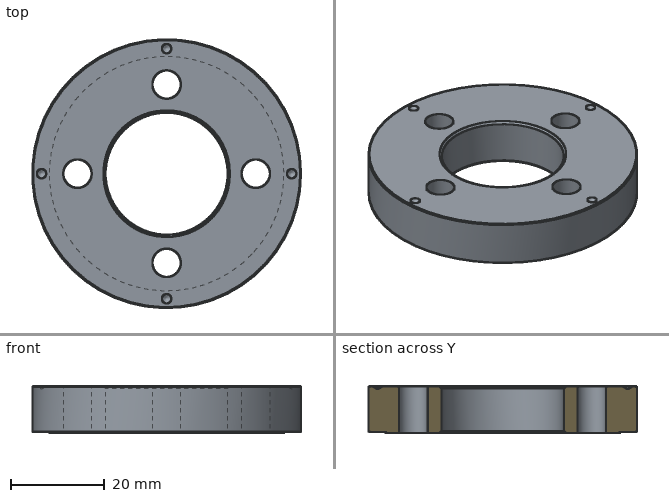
import cadquery as cq
import math

OUTER_DIAMETER = 57.3
THICKNESS = 10.0
BORE_DIAMETER = 26.0
BORE_CHAMFER = 0.5
RIM_CHAMFER = 0.2

SEAT_DIAMETER = 50.0
SEAT_HEIGHT = 0.2

PATTERN_COUNT = 4
HOLE_DIAMETER = 6.0
HOLE_CIRCLE_DIAMETER = 38.0
MARK_DIAMETER = 2.0
MARK_EDGE_DISTANCE = 2.0
MARK_CIRCLE_DIAMETER = OUTER_DIAMETER - 2 * MARK_EDGE_DISTANCE
MARK_CONE_ANGLE = 118.0


def make_body():
    """Disc with chamfered rims, standing on a slightly raised seat."""
    disc = (
        cq.Workplane("XY")
        .workplane(offset=SEAT_HEIGHT)
        .circle(OUTER_DIAMETER / 2)
        .extrude(THICKNESS - SEAT_HEIGHT)
        .edges()
        .chamfer(RIM_CHAMFER)
    )
    seat = cq.Workplane("XY").circle(SEAT_DIAMETER / 2).extrude(2 * SEAT_HEIGHT)
    return disc.union(seat)


def make_bore():
    """Cutter for the central bore, widened to a chamfer at both ends."""
    bore_radius = BORE_DIAMETER / 2
    mouth_radius = bore_radius + BORE_CHAMFER
    return (
        cq.Workplane("XZ")
        .moveTo(0, 0)
        .lineTo(mouth_radius, 0)
        .lineTo(bore_radius, BORE_CHAMFER)
        .lineTo(bore_radius, THICKNESS - BORE_CHAMFER)
        .lineTo(mouth_radius, THICKNESS)
        .lineTo(0, THICKNESS)
        .close()
        .revolve(360, (0, 0, 0), (0, 1, 0))
    )


def make_holes():
    """Cutter for the through holes around the bore."""
    return (
        cq.Workplane("XY")
        .polarArray(HOLE_CIRCLE_DIAMETER / 2, 0, 360, PATTERN_COUNT)
        .circle(HOLE_DIAMETER / 2)
        .extrude(THICKNESS)
    )


def make_marks():
    """Cutter for the conical drill marks near the rim of the top face."""
    mark_radius = MARK_DIAMETER / 2
    mark_depth = mark_radius / math.tan(math.radians(MARK_CONE_ANGLE / 2))
    cone = cq.Solid.makeCone(0, mark_radius, mark_depth)
    return (
        cq.Workplane("XY")
        .workplane(offset=THICKNESS - mark_depth)
        .polarArray(MARK_CIRCLE_DIAMETER / 2, 0, 360, PATTERN_COUNT)
        .eachpoint(cone, combine=False)
        .combine()
    )


result = make_body().cut(make_bore()).cut(make_holes()).cut(make_marks())